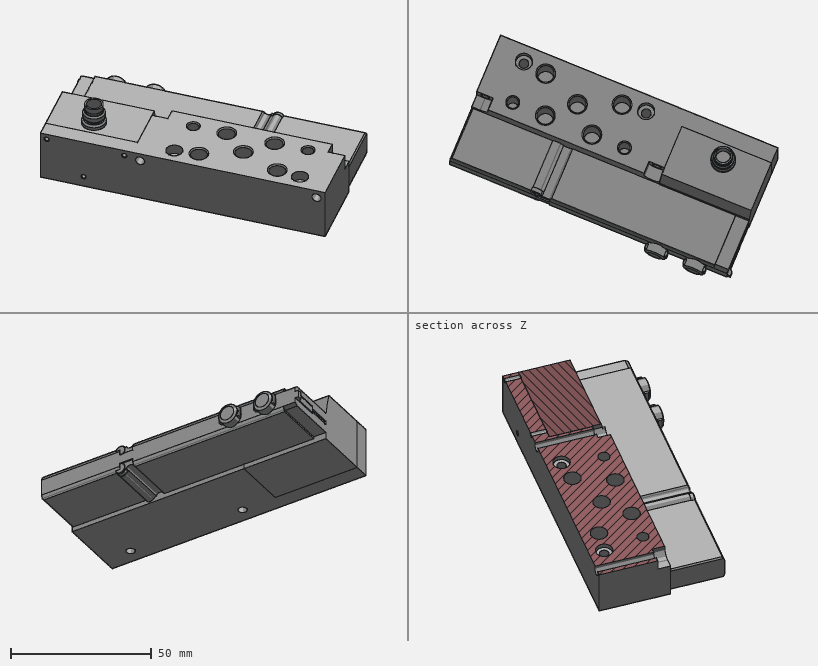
import cadquery as cq
import math

length = 107.2
height = 20.2
seat_y = 26.9

housing_length = 34.6
housing_front_y = 6.0
housing_back_top_y = 24.8
housing_bend_foot = (26.6, 11.8)
housing_bend_mid = (26.0, 15.5)

port_centre_x = 72.2
port_depth = 10.8
large_port_diameter = 6.1
large_port_mouth = 7.0
small_port_diameter = 4.1
small_port_mouth = 5.0
back_row_y = 21.0
middle_port_y = 12.8
front_row_y = 6.8
back_port_offset = 9.0
front_port_offset = 14.8
small_port_offset = 21.6

mount_diameter = 3.4
mount_counterbore = 6.1
vertical_mount_depth = 3.8
cross_mount_depth = 4.7
vertical_mount_offset = 23.7
vertical_mount_y = 5.8
cross_mount_z = 17.0
cross_mount_left_x = 37.5
cross_mount_right_x = 103.9

wall_hole_diameter = 1.5
wall_hole_mouth = 2.0
wall_hole_places = [(2.4, 17.9), (31.6, 17.9), (16.3, 4.3)]

connector_x = 16.3
connector_y = 11.7
connector_height = 8.6
connector_bore = 5.3
connector_bore_depth = 5.4

valve_z = 6.9
valve_thickness = 10.1
valve_back_y = 47.4
bevel_start_y = 46.9
bevel_start_thickness = 8.9
back_face_thickness = 6.5
main_edge_chamfer = 0.3
end_chamfer = 0.5
cap_length = 5.1
cap_thickness = 8.5
cap_bevel_y = 46.1

groove_x = 68.7
groove_low_x = 70.0
groove_floor = 3.8
groove_rise = 4.8
groove_end_x = 71.6
rib_x = 74.2
rib_diameter = 3.5
rib_centre = 4.6
rib_flank_x = 72.8
rib_back_y = 45.2
screw_head_diameter = 4.5
screw_head_centre = 3.8
screw_head_back_y = 47.0
screw_head_chamfer = 0.3

latch_width = 2.8
latch_reach = 1.3
latch_plate = 0.3
latch_plate_y = 36.2
latch_slope_y = 44.8
latch_nose_y = 45.8
slot_end_y = 35.8
slot_width = 1.4
slot_depth = 0.5

button_diameter = 7.8
button_first_x = 11.9
button_pitch = 14.8
button_count = 2
button_places = [button_first_x + i * button_pitch for i in range(button_count)]
button_seat_y = 45.2
button_tip_y = 50.8
button_edge_length = 0.4
button_edge_width = 1.1
button_lug_width = 3.9
button_lug_span = 8.5
button_lug_lower_y = (48.0, 48.3)
button_lug_upper_y = (49.6, 50.3)


def box(x0, x1, y0, y1, z0, z1):
    return cq.Workplane("XY").box(x1 - x0, y1 - y0, z1 - z0, centered=False).translate((x0, y0, z0))


def cylinder_along_y(x, z, diameter, y0, y1):
    return cq.Workplane("XZ", origin=(x, y0, z)).circle(diameter / 2).extrude(y0 - y1)


def flared_hole(origin, direction, diameter, mouth, depth):
    """Cutter for a blind hole with a 45 degree flared mouth."""
    flare = (mouth - diameter) / 2
    origin = cq.Vector(*origin)
    direction = cq.Vector(*direction)
    bore = cq.Solid.makeCylinder(diameter / 2, depth, origin, direction)
    cone = cq.Solid.makeCone(mouth / 2, diameter / 2, flare, origin, direction)
    return cq.Workplane(bore).union(cq.Workplane(cone))


def about_valve_plane(shape):
    """The shape together with its mirror image about the valve's middle plane."""
    return shape.union(shape.mirror("XY", (0, 0, valve_z)))


def port_cutters():
    large_places = [
        (-back_port_offset, back_row_y),
        (back_port_offset, back_row_y),
        (0, middle_port_y),
        (-front_port_offset, front_row_y),
        (front_port_offset, front_row_y),
    ]
    small_places = [(-small_port_offset, back_row_y), (small_port_offset, back_row_y)]
    cutters = []
    for offset, y in large_places:
        top = (port_centre_x + offset, y, height)
        cutters.append(flared_hole(top, (0, 0, -1), large_port_diameter, large_port_mouth, port_depth))
    for offset, y in small_places:
        top = (port_centre_x + offset, y, height)
        cutters.append(flared_hole(top, (0, 0, -1), small_port_diameter, small_port_mouth, port_depth))
    return cutters


def screw_pocket(x, right_x):
    """Counterbore of a cross hole, open to the top and reaching right to right_x."""
    radius = mount_counterbore / 2
    front_y = seat_y - cross_mount_depth
    round_end = cylinder_along_y(x, cross_mount_z, mount_counterbore, front_y, seat_y)
    above = box(x - radius, right_x, front_y, seat_y, cross_mount_z, height)
    return round_end.union(above)


def make_manifold():
    body = box(0, length, 0, seat_y, 0, height)
    body = body.cut(box(0, housing_length, housing_front_y, seat_y, 0, height))

    for cutter in port_cutters():
        body = body.cut(cutter)

    for side in (-1, 1):
        x = port_centre_x + side * vertical_mount_offset
        body = body.cut(
            cq.Workplane("XY", origin=(x, vertical_mount_y, 0)).circle(mount_diameter / 2).extrude(height)
        )
        counterbore = cq.Workplane("XY", origin=(x, vertical_mount_y, height))
        body = body.cut(counterbore.circle(mount_counterbore / 2).extrude(-vertical_mount_depth))

    for x in (cross_mount_left_x, cross_mount_right_x):
        body = body.cut(cylinder_along_y(x, cross_mount_z, mount_diameter, 0, seat_y))
    body = body.cut(screw_pocket(cross_mount_left_x, cross_mount_left_x + mount_counterbore / 2))
    body = body.cut(screw_pocket(cross_mount_right_x, length))

    pocket_floor = cross_mount_z - mount_counterbore / 2
    pocket_front = seat_y - cross_mount_depth
    body = body.cut(box(cross_mount_right_x, length, pocket_front, seat_y, pocket_floor, height))

    for x, z in wall_hole_places:
        body = body.cut(
            flared_hole((x, 0, z), (0, 1, 0), wall_hole_diameter, wall_hole_mouth, housing_front_y)
        )
    return body


def make_connector():
    """Turned connector: flange, neck, collar, groove and tube, as (diameter, height) steps."""
    steps = [
        (8.9, 0),
        (8.9, 1.2),
        (7.6, 2.0),
        (6.4, 2.0),
        (6.4, 2.5),
        (8.1, 3.1),
        (8.1, 4.9),
        (6.9, 5.5),
        (6.4, 5.5),
        (6.4, 6.5),
        (6.6, 6.5),
        (6.6, connector_height),
    ]
    outline = [(0, 0)] + [(diameter / 2, z) for diameter, z in steps] + [(0, connector_height)]
    turned = cq.Workplane("XZ").polyline(outline).close().revolve(360, (0, 0, 0), (0, 1, 0))
    bore = cq.Workplane("XY", origin=(0, 0, connector_height)).circle(connector_bore / 2)
    turned = turned.cut(bore.extrude(-connector_bore_depth))
    return turned.translate((connector_x, connector_y, height))


def make_housing():
    section = (
        cq.Workplane("YZ")
        .moveTo(housing_front_y, 0)
        .lineTo(seat_y, 0)
        .lineTo(seat_y, valve_z + cap_thickness / 2)
        .lineTo(*housing_bend_foot)
        .threePointArc(housing_bend_mid, (housing_back_top_y, height))
        .lineTo(housing_front_y, height)
        .close()
    )
    return section.extrude(housing_length)


def valve_block(x0, x1, half_outline):
    """Block along X, mirrored about the middle plane; half_outline lists (y, height above it)."""
    upper = [(y, valve_z + offset) for y, offset in half_outline]
    lower = [(y, valve_z - offset) for y, offset in reversed(half_outline)]
    return cq.Workplane("YZ", origin=(x0, 0, 0)).polyline(upper + lower).close().extrude(x1 - x0)


def make_valve_core():
    main_outline = [
        (seat_y, valve_thickness / 2),
        (bevel_start_y - main_edge_chamfer, valve_thickness / 2),
        (bevel_start_y, bevel_start_thickness / 2),
        (valve_back_y, back_face_thickness / 2),
    ]
    main = valve_block(cap_length, length, main_outline)
    main = main.faces(">X").edges(">Z or <Z").chamfer(end_chamfer)

    cap_outline = [
        (seat_y, cap_thickness / 2),
        (cap_bevel_y, cap_thickness / 2),
        (valve_back_y, back_face_thickness / 2),
    ]
    return main.union(valve_block(0, cap_length, cap_outline))


def groove_cutter():
    """Chamfered groove to the left of the rib, open at the broad face."""
    top = valve_z + valve_thickness / 2
    groove = box(groove_x, rib_x, seat_y, valve_back_y, valve_z + groove_floor / 2, top)
    chamfer = (
        cq.Workplane("XZ", origin=(0, seat_y, 0))
        .polyline([(groove_x - end_chamfer, top), (groove_x, top), (groove_x, top - end_chamfer)])
        .close()
        .extrude(seat_y - valve_back_y)
    )
    return groove.union(chamfer)


def make_groove_floor():
    """Hollow floor that fills the lower part of the groove."""
    profile = (
        cq.Workplane("XZ", origin=(0, seat_y, 0))
        .moveTo(groove_x, valve_z + valve_thickness / 2 - end_chamfer)
        .threePointArc((groove_low_x, valve_z + groove_floor), (groove_end_x, valve_z + groove_rise))
        .lineTo(rib_x, valve_z + groove_rise)
        .lineTo(rib_x, valve_z)
        .lineTo(groove_x, valve_z)
        .close()
    )
    return profile.extrude(seat_y - bevel_start_y)


def make_rib():
    """Round rib along Y with a sloped flank that runs down into the groove."""
    radius = rib_diameter / 2
    centre_z = valve_z + rib_centre
    flank_z = centre_z + math.sqrt(radius**2 - (rib_x - rib_flank_x) ** 2)
    profile = (
        cq.Workplane("XZ", origin=(0, seat_y, 0))
        .moveTo(groove_end_x, valve_z + groove_rise)
        .lineTo(rib_flank_x, flank_z)
        .threePointArc((rib_x, centre_z + radius), (rib_x + radius, centre_z))
        .lineTo(rib_x + radius, valve_z)
        .lineTo(groove_end_x, valve_z)
        .close()
    )
    return profile.extrude(seat_y - rib_back_y)


def make_screw_head():
    head = cylinder_along_y(
        rib_x, valve_z + screw_head_centre, screw_head_diameter, rib_back_y, screw_head_back_y
    )
    return head.faces(">Y").chamfer(screw_head_chamfer)


def make_latch():
    """Hooked latch standing out of the end cap's left face."""
    outline = [
        (0, slot_end_y),
        (-latch_plate, latch_plate_y),
        (-latch_plate, latch_slope_y),
        (-latch_reach, latch_nose_y),
        (-latch_reach, valve_back_y),
        (0, valve_back_y),
    ]
    base = cq.Workplane("XY", origin=(0, 0, valve_z - latch_width / 2))
    return base.polyline(outline).close().extrude(latch_width)


def make_valve():
    body = make_valve_core().union(make_housing())
    body = body.cut(about_valve_plane(groove_cutter()))
    body = body.union(about_valve_plane(make_groove_floor()))
    body = body.union(about_valve_plane(make_rib()))
    body = body.union(about_valve_plane(make_screw_head()))
    body = body.union(make_latch())
    half_slot = slot_width / 2
    body = body.cut(box(0, slot_depth, seat_y, slot_end_y, valve_z - half_slot, valve_z + half_slot))
    for x in button_places:
        body = body.cut(cylinder_along_y(x, valve_z, button_diameter, button_seat_y, button_tip_y))
    return body


def make_button(x):
    radius = button_diameter / 2
    tip_radius = radius - button_edge_width
    edge_y = button_tip_y - button_edge_length
    outline = [
        (0, button_seat_y),
        (radius, button_seat_y),
        (radius, edge_y),
        (tip_radius, button_tip_y),
        (0, button_tip_y),
    ]
    body = cq.Workplane("XY").polyline(outline).close().revolve(360, (0, 0, 0), (0, 1, 0))

    lug_reach = button_lug_span / 2
    lug_outline = [
        (0, button_lug_lower_y[0]),
        (radius, button_lug_lower_y[0]),
        (lug_reach, button_lug_lower_y[1]),
        (lug_reach, button_lug_upper_y[0]),
        (tip_radius, button_lug_upper_y[1]),
        (0, button_lug_upper_y[1]),
    ]
    lug = cq.Workplane("XY").polyline(lug_outline).close().extrude(button_lug_width / 2, both=True)
    body = body.union(lug).union(lug.mirror("YZ"))
    return body.translate((x, 0, valve_z))


manifold = make_manifold()
valve = make_valve()
connector = make_connector()
buttons = [make_button(x) for x in button_places]

result = cq.Compound.makeCompound(
    [manifold.val(), valve.val(), connector.val(), *[button.val() for button in buttons]]
)